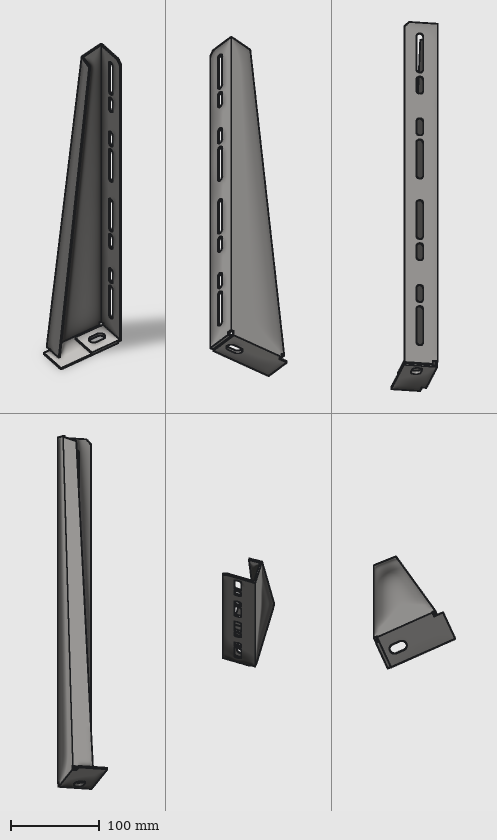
import cadquery as cq
import math


width = 38.0
depth = 83.5
height = 411.0
sheet = 2.0

web_top_depth = 27.5
web_top_drop = 5.8
web_foot_depth = 76.0

front_flange_top_width = 15.0
front_flange_foot_width = 23.5
front_flange_top_drop = 6.5
front_flange_top_fall = 4.0
front_flange_bottom = 3.5

back_corner_chamfer = 5.5
slot_center_x = 20.5
slot_width = 8.0
long_slot_length = 47.0
short_slot_length = 20.5
slot_group_pitch = 200.0
slot_group_count = 2
short_slot_offset = 25.0
long_slot_offset = 63.5

back_foot_depth = 40.5
back_foot_left = 5.8
foot_slot_width = 11.0
foot_slot_length = 20.0
foot_slot_depth = 21.0

back_relief_depth = 4.0
back_relief_height = 5.8
front_relief_start = 72.5
front_relief_width = 5.0
front_relief_height = 4.5

web_top_z = height - web_top_drop
slope_angle = math.atan2(web_foot_depth - web_top_depth, web_top_z - front_flange_bottom)

inward_y = sheet * math.cos(slope_angle)
inward_z = -sheet * math.sin(slope_angle)

flange_outer_top = (-web_top_depth, web_top_z)
flange_inner_top = (-web_top_depth + inward_y, web_top_z + inward_z)
flange_outer_foot = (-web_foot_depth, front_flange_bottom)
flange_inner_foot = (-web_foot_depth + inward_y, front_flange_bottom + inward_z)


def block(x_range, y_range, z_range):
    """Axis-aligned box given by its limits along X, Y and Z."""
    (x0, x1), (y0, y1), (z0, z1) = x_range, y_range, z_range
    return cq.Workplane("XY").box(x1 - x0, y1 - y0, z1 - z0, centered=False).translate((x0, y0, z0))


def side_profile(points, length):
    """Prism along +X from X = 0 with a (Y, Z) outline."""
    return cq.Workplane("YZ").polyline(points).close().extrude(length)


def make_web():
    """Side web with its top edge sloping forward and a relief at each lower corner."""
    outline = [
        (0, back_relief_height),
        (0, height),
        (-sheet, height),
        flange_outer_top,
        flange_outer_foot,
        flange_inner_foot,
        (flange_inner_foot[0], front_relief_height),
        (-front_relief_start, front_relief_height),
        (-front_relief_start, 0),
        (-back_relief_depth, 0),
        (-back_relief_depth, back_relief_height),
    ]
    return side_profile(outline, sheet)


def make_front_flange():
    """Sloped sheet trimmed to the tapered outline of the flange."""
    sloped_sheet = side_profile(
        [flange_outer_top, flange_outer_foot, flange_inner_foot, flange_inner_top],
        width,
    )
    top_z = height - front_flange_top_drop
    taper = [
        (0, 0),
        (front_flange_foot_width, 0),
        (front_flange_top_width, top_z - front_flange_top_fall),
        (0, top_z),
    ]
    return sloped_sheet.intersect(cq.Workplane("XZ").polyline(taper).close().extrude(depth))


def back_slot(center_z, length):
    """Upright slot cutter through the back plate."""
    return (
        cq.Workplane("XZ")
        .center(slot_center_x, center_z)
        .slot2D(length, slot_width, 90)
        .extrude(sheet)
    )


def make_back_plate():
    plate = block((0, width), (-sheet, 0), (sheet, height))
    plate = plate.edges("|Y and >X and >Z").chamfer(back_corner_chamfer)
    plate = plate.cut(block((0, back_foot_left), (-sheet, 0), (0, back_relief_height)))
    for group in range(slot_group_count):
        group_z = height - (group + 0.5) * slot_group_pitch
        for side in (-1, 1):
            plate = plate.cut(back_slot(group_z + side * short_slot_offset, short_slot_length))
            plate = plate.cut(back_slot(group_z + side * long_slot_offset, long_slot_length))
    return plate


def make_feet():
    """Web foot at the bottom with the shorter back-plate foot resting on it."""
    web_foot = block((0, width), (-depth, -back_relief_depth), (0, sheet))
    front_relief = block((0, front_relief_width), (-depth, -front_relief_start), (0, sheet))
    back_foot = block((back_foot_left, width), (-back_foot_depth, 0), (sheet, 2 * sheet))
    slot = (
        cq.Workplane("XY")
        .center(slot_center_x, -foot_slot_depth)
        .slot2D(foot_slot_length, foot_slot_width, 90)
        .extrude(2 * sheet)
    )
    return web_foot.cut(front_relief).union(back_foot).cut(slot)


result = make_web().union(make_back_plate()).union(make_front_flange()).union(make_feet())